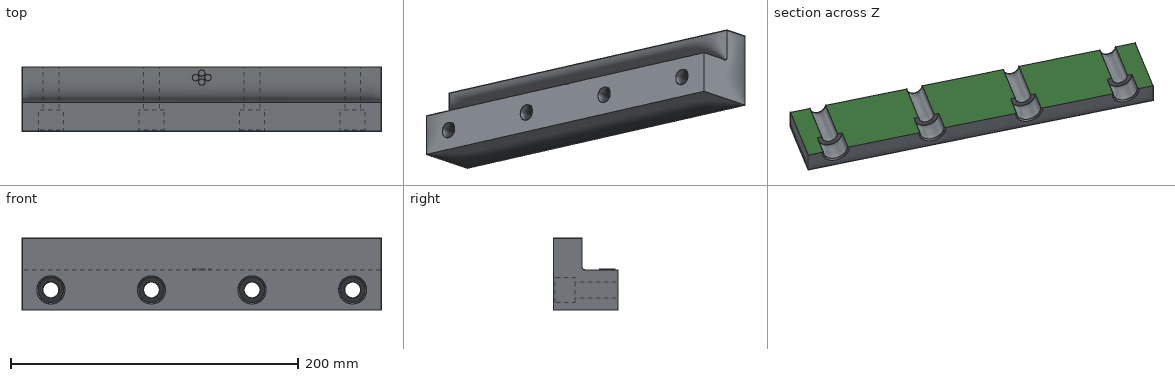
import cadquery as cq

LENGTH = 250.0
DEPTH = 45.0
HEIGHT = 50.0

WALL_THICKNESS = 20.0
LEDGE_HEIGHT = 28.0
CORNER_RADIUS = 2.0

HOLE_COUNT = 4
HOLE_END_DISTANCE = 20.0
HOLE_HEIGHT = LEDGE_HEIGHT / 2
HOLE_DIAMETER = 11.0
COUNTERBORE_DIAMETER = 17.5
COUNTERBORE_DEPTH = 15.0
COUNTERBORE_CHAMFER = 1.0

MARK_RISE = 0.5
MARK_EDGE_DISTANCE = 7.5
SIDE_LOBE_DIAMETER = 4.5
END_LOBE_DIAMETER = 4.4
SIDE_LOBE_OFFSET = 4.3
END_LOBE_OFFSET = 3.1

FRONT_Y = -DEPTH / 2
BACK_Y = DEPTH / 2
WALL_BACK_Y = FRONT_Y + WALL_THICKNESS


def make_bar():
    """L-section extruded along X, with a fillet in the inner corner."""
    section = (
        cq.Workplane("YZ")
        .moveTo(FRONT_Y, 0)
        .lineTo(BACK_Y, 0)
        .lineTo(BACK_Y, LEDGE_HEIGHT)
        .lineTo(WALL_BACK_Y + CORNER_RADIUS, LEDGE_HEIGHT)
        .radiusArc((WALL_BACK_Y, LEDGE_HEIGHT + CORNER_RADIUS), CORNER_RADIUS)
        .lineTo(WALL_BACK_Y, HEIGHT)
        .lineTo(FRONT_Y, HEIGHT)
        .close()
    )
    return section.extrude(LENGTH / 2, both=True)


def make_screw_hole(x):
    """Through hole with a chamfered counterbore, as a solid of revolution about a Y-parallel axis."""
    hole_radius = HOLE_DIAMETER / 2
    bore_radius = COUNTERBORE_DIAMETER / 2
    mouth_radius = bore_radius + COUNTERBORE_CHAMFER
    profile = (
        cq.Workplane("XY")
        .moveTo(0, FRONT_Y)
        .lineTo(mouth_radius, FRONT_Y)
        .lineTo(bore_radius, FRONT_Y + COUNTERBORE_CHAMFER)
        .lineTo(bore_radius, FRONT_Y + COUNTERBORE_DEPTH)
        .lineTo(hole_radius, FRONT_Y + COUNTERBORE_DEPTH)
        .lineTo(hole_radius, BACK_Y)
        .lineTo(0, BACK_Y)
        .close()
    )
    return profile.revolve(360, (0, 0, 0), (0, 1, 0)).translate((x, 0, HOLE_HEIGHT))


def cut_screw_holes(body):
    """Evenly spaced holes, the outer two at the same distance from each end."""
    pitch = (LENGTH - 2 * HOLE_END_DISTANCE) / (HOLE_COUNT - 1)
    first_x = -LENGTH / 2 + HOLE_END_DISTANCE
    for index in range(HOLE_COUNT):
        body = body.cut(make_screw_hole(first_x + index * pitch))
    return body


def add_mark(body):
    """Two pairs of round lobes raised from the ledge."""
    ledge = cq.Workplane("XY", origin=(0, BACK_Y - MARK_EDGE_DISTANCE, LEDGE_HEIGHT))
    side_points = [(-SIDE_LOBE_OFFSET, 0), (SIDE_LOBE_OFFSET, 0)]
    end_points = [(0, -END_LOBE_OFFSET), (0, END_LOBE_OFFSET)]
    side_lobes = ledge.pushPoints(side_points).circle(SIDE_LOBE_DIAMETER / 2).extrude(MARK_RISE)
    end_lobes = ledge.pushPoints(end_points).circle(END_LOBE_DIAMETER / 2).extrude(MARK_RISE)
    return body.union(side_lobes).union(end_lobes)


result = add_mark(cut_screw_holes(make_bar()))